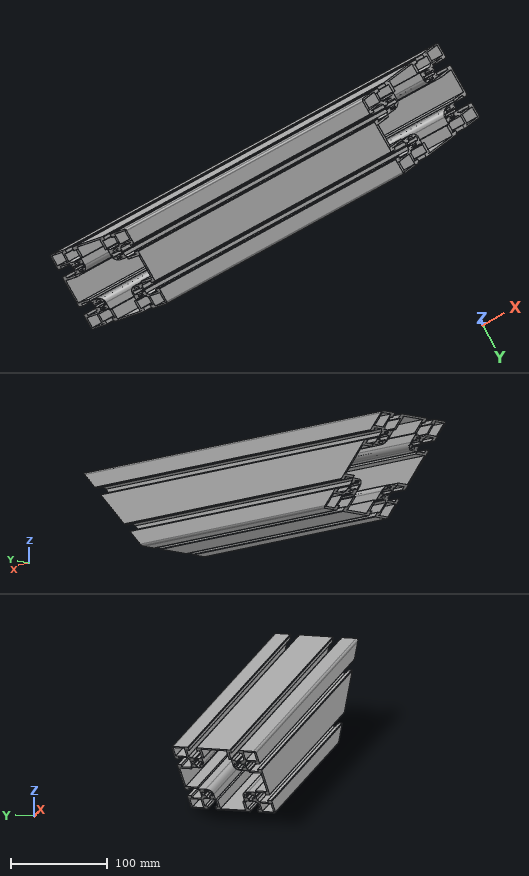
import cadquery as cq
import math

length = 460.0
side = 90.0
half = side / 2
corner_radius = 2.5
module = half / 2
wall = 2.0

mouth_half_width = 4.05
lip_depth = 4.35
lip_chamfer = 0.65
slot_half_width = 7.0
slot_depth = 15.5
slot_chamfer = 2.5
groove_half_width = 0.7
groove_depth = 0.7

core_radius = 7.0
bore_radius = 3.5
lobe_radius = 5.5
lobe_angle = 50.0

arm_half_width = 13.5
cavity_half = 31.0


def bar(sketch):
    """Extrude a YZ sketch over the full length, centred on the origin."""
    return sketch.extrude(length / 2, both=True)


def section():
    """Empty workplane across the bar, with Y and Z as its axes."""
    return cq.Workplane("YZ")


def blank():
    """Square bar with rounded long edges."""
    return bar(section().rect(side, side)).edges("|X").fillet(corner_radius)


def slot_cutter(offset):
    """T-slot opening in the +Z face, centred at the given Y."""
    floor = half - slot_depth
    lip = half - lip_depth
    half_outline = [
        (mouth_half_width + lip_chamfer, half),
        (mouth_half_width, half - lip_chamfer),
        (mouth_half_width, lip),
        (slot_half_width, lip),
        (slot_half_width, floor + slot_chamfer),
        (slot_half_width - slot_chamfer, floor),
        (groove_half_width, floor),
        (0, floor - groove_depth),
    ]
    mirrored = [(-y, z) for y, z in reversed(half_outline[:-1])]
    return bar(section().center(offset, 0).polyline(half_outline + mirrored).close())


def corner_chamber():
    """Square hollow behind the outer corner."""
    inner = module + slot_half_width + wall
    outer = half - wall
    middle = (inner + outer) / 2
    width = outer - inner
    return bar(section().center(middle, middle).rect(width, width))


def core_bore():
    """Round bore with four lobes that widen outwards."""
    bore = bar(section().center(module, module).circle(bore_radius))
    spread = math.radians(lobe_angle / 2)
    lobe_reach = lobe_radius * math.cos(spread)
    lobe_half_width = lobe_radius * math.sin(spread)
    for turn in range(4):
        lobe = bar(
            section()
            .lineTo(lobe_reach, -lobe_half_width)
            .threePointArc((lobe_radius, 0), (lobe_reach, lobe_half_width))
            .close()
        )
        lobe = lobe.rotate((0, 0, 0), (1, 0, 0), 90 * turn)
        bore = bore.union(lobe.translate((0, module, module)))
    return bore


def central_cavity():
    """Cross-shaped hollow that leaves a round-cornered block around each core."""
    arm_length = side - 2 * wall
    cavity = bar(section().rect(2 * cavity_half, 2 * cavity_half))
    block_start = module - core_radius
    block_size = half - block_start
    block_middle = (block_start + half) / 2
    block = (
        bar(section().center(block_middle, block_middle).rect(block_size, block_size))
        .edges("|X and <(0, 1, 1)")
        .fillet(core_radius)
    )
    for turn in range(4):
        cavity = cavity.cut(block.rotate((0, 0, 0), (1, 0, 0), 90 * turn))
    cavity = cavity.union(bar(section().rect(arm_length, 2 * arm_half_width)))
    return cavity.union(bar(section().rect(2 * arm_half_width, arm_length)))


def mitre_envelope():
    """Trapezoid with both ends cut at 45 degrees, longest at the top."""
    top = length / 2
    bottom = top - side
    return (
        cq.Workplane("XZ")
        .polyline([(-top, half), (top, half), (bottom, -half), (-bottom, -half)])
        .close()
        .extrude(half, both=True)
    )


result = blank().cut(central_cavity())
quarter_cutters = [slot_cutter(-module), slot_cutter(module), corner_chamber(), core_bore()]
for turn in range(4):
    for cutter in quarter_cutters:
        result = result.cut(cutter.rotate((0, 0, 0), (1, 0, 0), 90 * turn))
result = result.intersect(mitre_envelope())